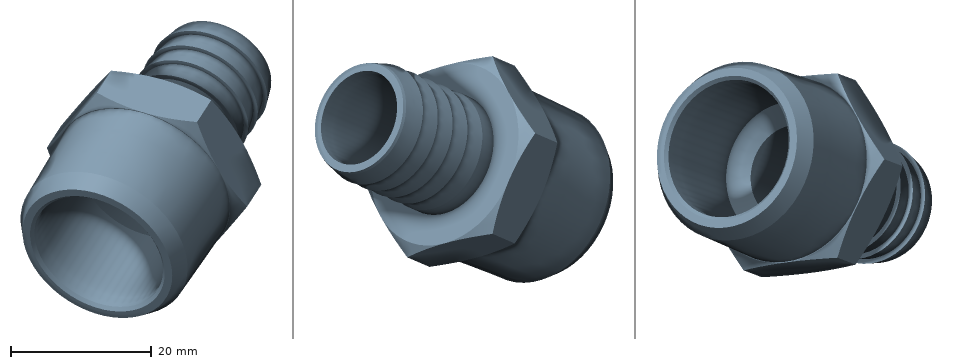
import cadquery as cq
import math

total_length = 43.5
hex_front = 16.5
hex_back = 23.95
barb_count = 5
barb_pitch = 3.4

hex_across_flats = 27.0
hex_chamfer_angle = math.radians(30)

thread_base_radius = 13.4
thread_end_radius = 13.0
thread_chamfer_length = 2.4
thread_tip_radius = 11.65

barb_crest_radius = 8.95
barb_root_radius = 8.25
tip_chamfer_length = 0.45
tip_chamfer_depth = 0.17

wide_bore_radius = 10.0
wide_bore_depth = hex_front
mouth_chamfer = 0.5
passage_radius = 6.95
throat_length = 1.75


def revolve_about_y(points):
    """Revolve a closed (radius, Y) outline a full turn about the Y axis."""
    return cq.Workplane("XY").polyline(points).close().revolve(360, (0, 0, 0), (0, 1, 0))


def make_thread_body():
    return revolve_about_y([
        (0, 0),
        (thread_tip_radius, 0),
        (thread_end_radius, thread_chamfer_length),
        (thread_base_radius, hex_front),
        (0, hex_front),
    ])


def make_hexagon():
    """Hexagonal collar whose corners are turned off by a cone at both ends."""
    flat_radius = hex_across_flats / 2
    corner_radius = flat_radius / math.cos(math.pi / 6)
    corner_drop = (corner_radius - flat_radius) * math.tan(hex_chamfer_angle)
    prism = (
        cq.Workplane("XZ", origin=(0, hex_front, 0))
        .polygon(6, 2 * corner_radius)
        .extrude(hex_front - hex_back)
    )
    turned_blank = revolve_about_y([
        (0, hex_front),
        (flat_radius, hex_front),
        (corner_radius, hex_front + corner_drop),
        (corner_radius, hex_back - corner_drop),
        (flat_radius, hex_back),
        (0, hex_back),
    ])
    return prism.intersect(turned_blank)


def make_hose_tail():
    """Plain neck followed by barbs that narrow towards the hose tip."""
    barbs_start = total_length - barb_count * barb_pitch
    outline = [(0, hex_back), (barb_crest_radius, hex_back)]
    for index in range(barb_count):
        crest_y = barbs_start + index * barb_pitch
        outline.append((barb_crest_radius, crest_y))
        if index < barb_count - 1:
            outline.append((barb_root_radius, crest_y + barb_pitch))
    outline += [
        (barb_root_radius, total_length - tip_chamfer_length),
        (barb_root_radius - tip_chamfer_depth, total_length),
        (0, total_length),
    ]
    return revolve_about_y(outline)


def make_bore():
    return revolve_about_y([
        (0, 0),
        (wide_bore_radius + mouth_chamfer, 0),
        (wide_bore_radius, mouth_chamfer),
        (wide_bore_radius, wide_bore_depth),
        (passage_radius, wide_bore_depth + throat_length),
        (passage_radius, total_length),
        (0, total_length),
    ])


result = make_thread_body().union(make_hexagon()).union(make_hose_tail()).cut(make_bore())